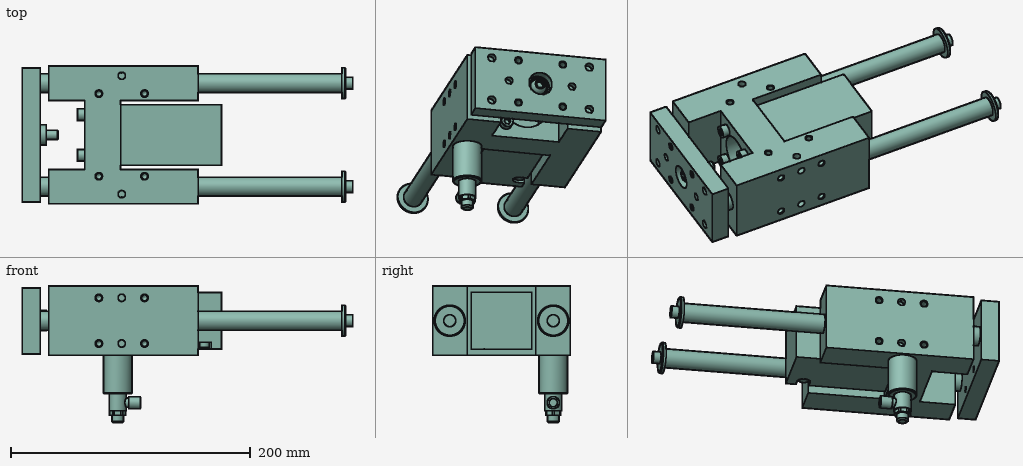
import cadquery as cq
import math


total_length = 276.0
plate_thickness = 15.2
housing_start = 22.0
housing_length = 124.8

housing_width = 115.0
housing_height = 58.0
bay_width = 57.5
front_bay_length = 30.0
web_thickness = 30.0
web_start = housing_start + front_bay_length
web_end = web_start + web_thickness
housing_end = housing_start + housing_length
web_bore_diameter = 37.0

rod_diameter = 16.0
rod_pitch = 86.5
rod_offset = rod_pitch / 2
washer_diameter = 26.0
washer_thickness = 3.0
washer_chamfer = 0.8
rod_screw_diameter = 10.0
rod_screw_length = 6.0
washer_end = total_length - rod_screw_length
rod_end = washer_end - washer_thickness

hole_pitch = 38.0
dowel_diameter = 6.0
dowel_depth = 6.0
thread_diameter = 5.0
thread_depth = 10.0
thread_chamfer = 0.5
drill_tip_angle = 118.0
fastening_x = 83.0
top_dowel_offset = 49.5
top_thread_offset = 34.5

plate_width = 112.0
plate_height = 55.2
plate_drop = 0.3
plate_corner_hole_diameter = 6.5
plate_corner_hole_depth = 6.0
plate_corner_hole_offset = 42.0
plate_dowel_offset = 27.0

coupling_bore_diameter = 19.5
coupling_bore_depth = 8.5
coupling_head_diameter = 16.0
coupling_dome_diameter = 13.8
coupling_dome_top_diameter = 8.0
coupling_rim_height = 1.0
coupling_socket_diameter = 6.5
coupling_socket_depth = 2.8
coupling_flange_diameter = 17.0
coupling_flange_length = 5.0
stud_diameter = 8.0
stud_length = 10.0
stud_chamfer = 0.8

motor_width = 50.8
motor_height = 47.5
motor_end = 166.5
port_x = 152.4
port_diameter = 11.0
port_depth = 5.8
port_pin_diameter = 8.0
port_pin_length = 4.5

motor_screw_pitch = 34.0
motor_screw_diameter = 10.0
motor_screw_height = 6.0
motor_screw_socket = 5.5
motor_screw_socket_depth = 3.3

clamp_x = 79.8
clamp_diameter = 24.0
clamp_length = 32.0
clamp_chamfer = 0.8
neck_diameter = 14.4
neck_length = 14.4
nut_width = 12.7
nut_corner_diameter = 13.8
nut_length = 3.5
plug_diameter = 10.0
plug_length = 6.3
plug_chamfer = 1.5
fitting_z = -68.5
fitting_neck_diameter = 8.0
fitting_diameter = 10.2
fitting_start = 89.0
fitting_end = 99.0
fitting_chamfer_length = 1.7
fitting_chamfer_depth = 0.5


def rod_x(diameter, x_start, x_end, y=0.0, z=0.0):
    """Cylinder along X between two stations."""
    return cq.Workplane("YZ", origin=(x_start, y, z)).circle(diameter / 2).extrude(x_end - x_start)


def box_between(x_start, x_end, width, height, z=0.0):
    """Block between two X stations, centred on Y = 0."""
    return cq.Workplane("YZ", origin=(x_start, 0, z)).rect(width, height).extrude(x_end - x_start)


def blind_hole(point, direction, diameter, depth):
    """Flat-bottomed cutter starting at point and running along direction."""
    return cq.Solid.makeCylinder(diameter / 2, depth, cq.Vector(*point), cq.Vector(*direction))


def threaded_hole(point, direction):
    """Cutter for a tapped hole: chamfered mouth, core and conical drill tip."""
    radius = thread_diameter / 2
    tip_length = radius / math.tan(math.radians(drill_tip_angle / 2))
    profile = (
        cq.Workplane("XZ")
        .moveTo(0, 0)
        .lineTo(radius + thread_chamfer, 0)
        .lineTo(radius, thread_chamfer)
        .lineTo(radius, thread_depth)
        .lineTo(0, thread_depth + tip_length)
        .close()
    )
    cutter = profile.revolve(360, (0, 0, 0), (0, 1, 0)).val()
    return cutter.moved(cq.Location(cq.Plane(origin=point, normal=direction)))


def housing_block():
    block = box_between(housing_start, housing_end, housing_width, housing_height)
    block = block.cut(box_between(housing_start, web_start, bay_width, housing_height))
    block = block.cut(box_between(web_end, housing_end, bay_width, housing_height))
    block = block.cut(rod_x(web_bore_diameter, web_start, web_end))
    for side in (-1, 1):
        block = block.cut(rod_x(rod_diameter, housing_start, housing_end, side * rod_offset))
    return block


def cut_housing_holes(block):
    side_y = housing_width / 2
    top_z = housing_height / 2
    half_pitch = hole_pitch / 2
    down = (0, 0, -1)
    for side in (-1, 1):
        inward = (0, -side, 0)
        for z in (-half_pitch, half_pitch):
            dowel_point = (fastening_x, side * side_y, z)
            block = block.cut(blind_hole(dowel_point, inward, dowel_diameter, dowel_depth))
            for x in (fastening_x - half_pitch, fastening_x + half_pitch):
                block = block.cut(threaded_hole((x, side * side_y, z), inward))
        dowel_point = (fastening_x, side * top_dowel_offset, top_z)
        block = block.cut(blind_hole(dowel_point, down, dowel_diameter, dowel_depth))
        for x in (fastening_x - half_pitch, fastening_x + half_pitch):
            block = block.cut(threaded_hole((x, side * top_thread_offset, top_z), down))
    return block


def motor_block():
    """Motor behind the web, with a connector notch in its lower edge."""
    motor = box_between(web_end, motor_end, motor_width, motor_height)
    bottom_z = -motor_height / 2
    face_y = -motor_width / 2
    port_y = face_y + port_diameter / 2
    floor = cq.Workplane("XY", origin=(port_x, port_y, bottom_z))
    notch = floor.circle(port_diameter / 2).extrude(port_depth)
    mouth = floor.center(0, -port_diameter / 4).rect(port_diameter, port_diameter / 2).extrude(port_depth)
    pin = (
        cq.Workplane("XY", origin=(port_x, port_y, bottom_z + port_depth))
        .circle(port_pin_diameter / 2)
        .extrude(-port_pin_length)
    )
    return motor.cut(notch.union(mouth)).union(pin)


def motor_screws():
    """Socket heads on the front of the web, in three corners of a square (none at -Y, -Z)."""
    half_pitch = motor_screw_pitch / 2
    corners = [(half_pitch, half_pitch), (half_pitch, -half_pitch), (-half_pitch, half_pitch)]
    heads = (
        cq.Workplane("YZ", origin=(web_start, 0, 0))
        .pushPoints(corners)
        .circle(motor_screw_diameter / 2)
        .extrude(-motor_screw_height)
    )
    sockets = (
        cq.Workplane("YZ", origin=(web_start - motor_screw_height, 0, 0))
        .pushPoints(corners)
        .polygon(6, motor_screw_socket)
        .extrude(motor_screw_socket_depth)
    )
    return heads.cut(sockets)


def clamping_unit():
    """Stepped cylinder hanging below one arm, with a side fitting toward +X."""

    def step(z_top, diameter, length):
        return cq.Workplane("XY", origin=(clamp_x, rod_offset, z_top)).circle(diameter / 2).extrude(-length)

    clamp_top = -housing_height / 2
    neck_top = clamp_top - clamp_length
    nut_top = neck_top - neck_length
    plug_top = nut_top - nut_length
    body = step(clamp_top, clamp_diameter, clamp_length).faces("<Z").chamfer(clamp_chamfer)
    neck = step(neck_top, neck_diameter, neck_length)
    nut_corners = nut_width / math.cos(math.pi / 6)
    hexagon = (
        cq.Workplane("XY", origin=(clamp_x, rod_offset, nut_top)).polygon(6, nut_corners).extrude(-nut_length)
    )
    nut = step(nut_top, nut_corner_diameter, nut_length).intersect(hexagon)
    plug = step(plug_top, plug_diameter, plug_length).faces("<Z").chamfer(plug_chamfer)
    fitting_neck = rod_x(fitting_neck_diameter, clamp_x, fitting_start, rod_offset, fitting_z)
    fitting = (
        rod_x(fitting_diameter, fitting_start, fitting_end, rod_offset, fitting_z)
        .faces(">X")
        .chamfer(fitting_chamfer_depth, fitting_chamfer_length)
    )
    return body.union(neck).union(nut).union(plug).union(fitting_neck).union(fitting)


def make_housing():
    block = cut_housing_holes(housing_block())
    return block.union(motor_block()).union(motor_screws()).union(clamping_unit())


def through_threaded_hole(y, z):
    """Cutter for a tapped hole through the plate, chamfered on the outer face."""
    core_radius = thread_diameter / 2
    mouth = cq.Solid.makeCone(
        core_radius + thread_chamfer, core_radius, thread_chamfer, cq.Vector(0, y, z), cq.Vector(1, 0, 0)
    )
    return rod_x(thread_diameter, 0, plate_thickness, y, z).union(cq.Workplane(mouth))


def front_plate():
    plate = box_between(0, plate_thickness, plate_width, plate_height, -plate_drop)
    inward = (1, 0, 0)
    half_pitch = hole_pitch / 2
    for side in (-1, 1):
        dowel_point = (0, side * plate_dowel_offset, 0)
        plate = plate.cut(blind_hole(dowel_point, inward, dowel_diameter, dowel_depth))
        for z in (-half_pitch, half_pitch):
            corner = (0, side * plate_corner_hole_offset, z)
            plate = plate.cut(blind_hole(corner, inward, plate_corner_hole_diameter, plate_corner_hole_depth))
            plate = plate.cut(through_threaded_hole(side * half_pitch, z))
    return plate.cut(rod_x(coupling_bore_diameter, 0, coupling_bore_depth))


def coupling_head():
    """Domed socket head standing on the floor of the plate's central bore."""
    rim_x = coupling_bore_depth - coupling_rim_height
    dome_radius = coupling_dome_diameter / 2
    top_radius = coupling_dome_top_diameter / 2
    top_angle = math.acos(top_radius / dome_radius)
    dome_x = rim_x - dome_radius * math.sin(top_angle)
    arc_middle = (
        rim_x - dome_radius * math.sin(top_angle / 2),
        dome_radius * math.cos(top_angle / 2),
    )
    dome_profile = (
        cq.Workplane("XY")
        .moveTo(rim_x, 0)
        .lineTo(rim_x, dome_radius)
        .threePointArc(arc_middle, (dome_x, top_radius))
        .lineTo(dome_x, 0)
        .close()
    )
    dome = dome_profile.revolve(360, (0, 0, 0), (1, 0, 0))
    rim = rod_x(coupling_head_diameter, rim_x, coupling_bore_depth)
    socket = (
        cq.Workplane("YZ", origin=(dome_x, 0, 0))
        .polygon(6, coupling_socket_diameter)
        .extrude(coupling_socket_depth)
    )
    return rim.union(dome).cut(socket)


def coupling_stud():
    flange_end = plate_thickness + coupling_flange_length
    flange = rod_x(coupling_flange_diameter, plate_thickness, flange_end)
    stud = rod_x(stud_diameter, flange_end, flange_end + stud_length).faces(">X").chamfer(stud_chamfer)
    return flange.union(stud)


def guide_rod(y):
    """Guide rod with its end washer and the head of the screw that holds it."""
    rod = rod_x(rod_diameter, plate_thickness, rod_end, y)
    washer = rod_x(washer_diameter, rod_end, washer_end, y).faces(">X").chamfer(washer_chamfer)
    screw = rod_x(rod_screw_diameter, washer_end, total_length, y)
    return rod.union(washer).union(screw)


def make_carriage():
    carriage = front_plate().union(coupling_head()).union(coupling_stud())
    for side in (-1, 1):
        carriage = carriage.union(guide_rod(side * rod_offset))
    return carriage


housing = make_housing()
carriage = make_carriage()

result = cq.Compound.makeCompound([housing.solids().val(), carriage.solids().val()])